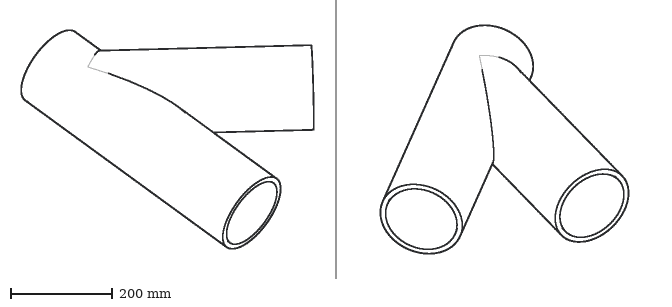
import cadquery as cq

outer_diameter = 168.0
bore_diameter = 146.5

run_length = 546.0
branch_position = 101.5
branch_length = 445.0
branch_angle = 45.0


def run_cylinder(diameter):
    """Cylinder over the full length of the run, starting at X = 0."""
    return cq.Workplane("YZ").circle(diameter / 2).extrude(run_length)


def branch_cylinder(diameter):
    """Cylinder along the branch axis, starting where the two axes cross."""
    return (
        cq.Workplane("YZ")
        .circle(diameter / 2)
        .extrude(branch_length)
        .rotate((0, 0, 0), (0, 0, 1), branch_angle)
        .translate((branch_position, 0, 0))
    )


body = run_cylinder(outer_diameter).union(branch_cylinder(outer_diameter))
result = body.cut(run_cylinder(bore_diameter)).cut(branch_cylinder(bore_diameter))